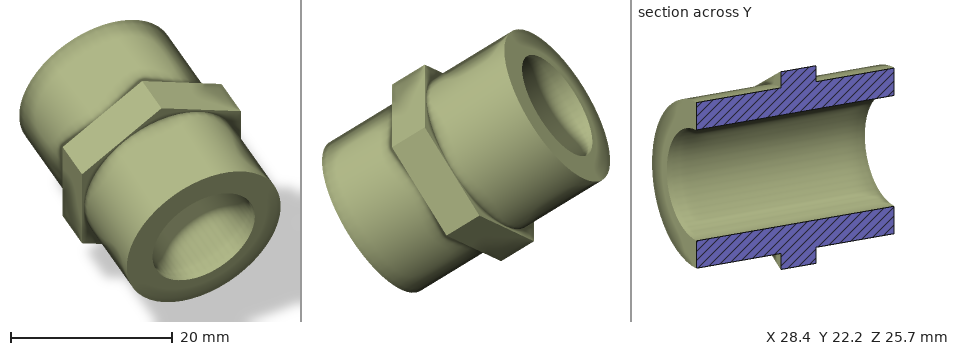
import cadquery as cq
import math

length = 28.35
outer_diameter = 21.55
bore_diameter = 14.32
collar_start = 12.1
collar_width = 5.1
across_flats = 22.23
across_corners = across_flats / math.cos(math.pi / 6)

body = cq.Workplane("YZ").circle(outer_diameter / 2).extrude(length)

collar = (
    cq.Workplane("YZ", origin=(collar_start, 0, 0))
    .transformed(rotate=(0, 0, 90))
    .polygon(6, across_corners)
    .extrude(collar_width)
)

bore = cq.Workplane("YZ").circle(bore_diameter / 2).extrude(length)

result = body.union(collar).cut(bore)